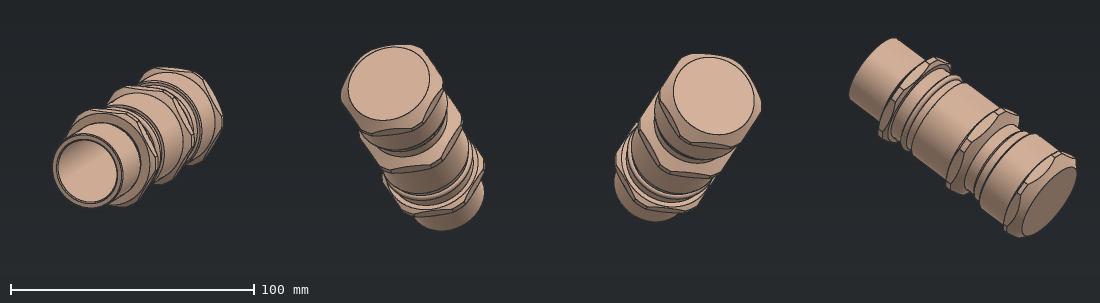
import cadquery as cq
import math

LENGTH = 96.0
ACROSS_FLATS = 40.0
ACROSS_CORNERS = ACROSS_FLATS / math.cos(math.radians(30))
BEVEL_RATIO = math.tan(math.radians(30))

SLEEVE_DIA = 32.0
SLEEVE_TOP = 18.6
SLEEVE_NECK_DIA = 31.0
SLEEVE_CHAMFER_LENGTH = 0.3
BORE_DIA = 26.4
BORE_CHAMFER = 0.5
END_WALL = 9.6

ENTRY_HEX_BOTTOM = 20.0
ENTRY_HEX_TOP = 24.9
ENTRY_HEX_CORNER_DIA = 43.2
ENTRY_HEX_FACE_DIA = 39.1

SPIGOT_DIA = 35.0
BARREL_DIA = 37.4
BARREL_BOTTOM = 37.0
NECK_DIA = 33.0
SPIGOT_CHAMFER_BOTTOM = 69.0
SPIGOT_CHAMFER = (SPIGOT_DIA - NECK_DIA) / 2

HEX_CORNER_DIA = 43.5
MIDDLE_HEX_BOTTOM = 56.4
MIDDLE_HEX_TOP = 63.9
CAP_DIA = 38.6
CAP_BOTTOM = 73.9
CAP_CHAMFER = 0.6
CAP_HEX_BOTTOM = 88.1
CAP_FACE_DIA = 34.6

RING_SECTION_DIA = 2.5
RING_CENTRE_Y = 32.0
RING_CENTRE_RADIUS = (NECK_DIA + RING_SECTION_DIA) / 2


def revolve_profile(points):
    """Turn an outline of (radius, y) points about the Y axis."""
    return cq.Workplane("XY").polyline(points).close().revolve(360, (0, 0, 0), (0, 1, 0))


def hexagon(bottom, top, corner_dia, bottom_dia, top_dia, top_ratio=BEVEL_RATIO):
    """Hexagon with flats facing +Z and -Z, trimmed by a cylinder and beveled to a circle at each end."""
    corner_radius = corner_dia / 2
    bottom_bevel = (corner_dia - bottom_dia) / 2 * BEVEL_RATIO
    top_bevel = (corner_dia - top_dia) / 2 * top_ratio
    envelope = revolve_profile([
        (0, bottom),
        (bottom_dia / 2, bottom),
        (corner_radius, bottom + bottom_bevel),
        (corner_radius, top - top_bevel),
        (top_dia / 2, top),
        (0, top),
    ])
    prism = (
        cq.Workplane("XZ", origin=(0, top, 0))
        .polygon(6, ACROSS_CORNERS)
        .extrude(top - bottom)
    )
    return prism.intersect(envelope)


def turned_body():
    """Sleeve, spigots, barrel and cap as one stepped round shape."""
    sleeve_radius = SLEEVE_DIA / 2
    neck_radius = SLEEVE_NECK_DIA / 2
    spigot_radius = SPIGOT_DIA / 2
    cap_radius = CAP_DIA / 2
    return revolve_profile([
        (0, 0),
        (neck_radius, 0),
        (sleeve_radius, SLEEVE_CHAMFER_LENGTH),
        (sleeve_radius, SLEEVE_TOP - SLEEVE_CHAMFER_LENGTH),
        (neck_radius, SLEEVE_TOP),
        (neck_radius, ENTRY_HEX_BOTTOM),
        (spigot_radius, ENTRY_HEX_BOTTOM),
        (spigot_radius, BARREL_BOTTOM),
        (BARREL_DIA / 2, BARREL_BOTTOM),
        (BARREL_DIA / 2, MIDDLE_HEX_BOTTOM),
        (NECK_DIA / 2, MIDDLE_HEX_BOTTOM),
        (NECK_DIA / 2, SPIGOT_CHAMFER_BOTTOM),
        (spigot_radius, SPIGOT_CHAMFER_BOTTOM + SPIGOT_CHAMFER),
        (spigot_radius, CAP_BOTTOM),
        (cap_radius - CAP_CHAMFER, CAP_BOTTOM),
        (cap_radius, CAP_BOTTOM + CAP_CHAMFER),
        (cap_radius, CAP_HEX_BOTTOM),
        (0, CAP_HEX_BOTTOM),
    ])


def blind_bore():
    """Bore from the sleeve mouth, chamfered there, with a flat floor."""
    bore_radius = BORE_DIA / 2
    floor = LENGTH - END_WALL
    return revolve_profile([
        (0, 0),
        (bore_radius + BORE_CHAMFER, 0),
        (bore_radius, BORE_CHAMFER),
        (bore_radius, floor),
        (0, floor),
    ])


def make_sealing_ring():
    return (
        cq.Workplane("XY")
        .center(RING_CENTRE_RADIUS, RING_CENTRE_Y)
        .circle(RING_SECTION_DIA / 2)
        .revolve(360, (-RING_CENTRE_RADIUS, 0, 0), (-RING_CENTRE_RADIUS, 1, 0))
    )


def make_gland(ring):
    """Gland with three hexagons, its bore and a groove that matches the ring."""
    entry_hex = hexagon(
        ENTRY_HEX_BOTTOM, ENTRY_HEX_TOP, ENTRY_HEX_CORNER_DIA, ENTRY_HEX_FACE_DIA, ENTRY_HEX_FACE_DIA
    )
    middle_hex = hexagon(MIDDLE_HEX_BOTTOM, MIDDLE_HEX_TOP, HEX_CORNER_DIA, BARREL_DIA, NECK_DIA)
    cap_hex = hexagon(CAP_HEX_BOTTOM, LENGTH, HEX_CORNER_DIA, CAP_DIA, CAP_FACE_DIA, top_ratio=1)
    solid = turned_body().union(entry_hex).union(middle_hex).union(cap_hex)
    return solid.cut(blind_bore()).cut(ring)


sealing_ring = make_sealing_ring()
gland = make_gland(sealing_ring)

result = cq.Compound.makeCompound([gland.solids().val(), sealing_ring.val()])